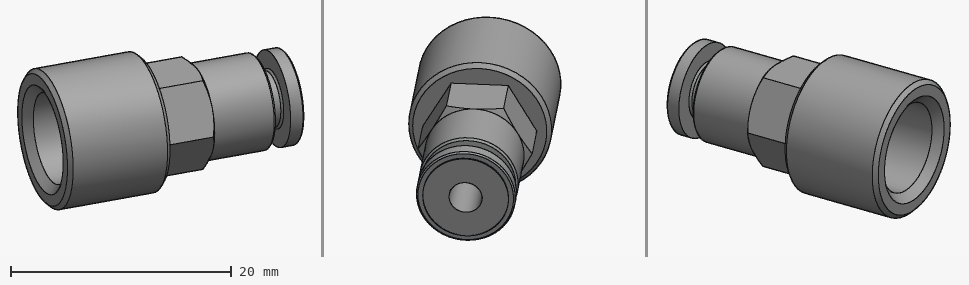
import cadquery as cq
import math


total_length = 23.9
socket_length = 10.0
hex_length = 5.0
collar_length = 1.5
collar_gap = 1.2

socket_diameter = 13.0
body_diameter = 9.0
neck_diameter = 5.2
bore_diameter = 8.5
bore_mouth_diameter = 10.1
through_hole_diameter = 3.0

hex_across_flats = 9.0
hex_across_corners = hex_across_flats / math.cos(math.radians(30))
hex_chamfer_angle = 30.0

socket_chamfer = 0.4
body_rim_chamfer = 0.2
collar_rim_chamfer = 0.15
end_ring_height = 0.15
body_cone_height = 0.2
end_ring_diameter = 7.8
neck_flare = 0.2

bore_depth = 8.0
bore_tip_angle = 118.0
bore_mouth_angle = 90.0

hex_end = socket_length + hex_length
collar_start = total_length - collar_length
body_end = collar_start - collar_gap


def revolve_about_axis(points):
    """Revolve a closed (radius, y) outline about the Y axis."""
    return cq.Workplane("XY").polyline(points).close().revolve(360, (0, 0, 0), (0, 1, 0))


def cone_height(large_diameter, small_diameter, included_angle):
    half_angle = math.radians(included_angle / 2)
    return (large_diameter - small_diameter) / 2 / math.tan(half_angle)


def make_socket():
    radius = socket_diameter / 2
    return revolve_about_axis([
        (0, 0),
        (radius - socket_chamfer, 0),
        (radius, socket_chamfer),
        (radius, socket_length - socket_chamfer),
        (radius - socket_chamfer, socket_length),
        (0, socket_length),
    ])


def make_hexagon():
    prism = (
        cq.Workplane("XZ", origin=(0, socket_length, 0))
        .polygon(6, hex_across_corners)
        .extrude(-hex_length)
    )
    corner_radius = hex_across_corners / 2
    flat_radius = hex_across_flats / 2
    corner_drop = (corner_radius - flat_radius) * math.tan(math.radians(hex_chamfer_angle))
    envelope = revolve_about_axis([
        (0, socket_length),
        (corner_radius, socket_length),
        (corner_radius, hex_end - corner_drop),
        (flat_radius, hex_end),
        (0, hex_end),
    ])
    return prism.intersect(envelope)


def make_body():
    radius = body_diameter / 2
    return revolve_about_axis([
        (0, socket_length),
        (radius, socket_length),
        (radius, body_end - body_cone_height - body_rim_chamfer),
        (radius - body_rim_chamfer, body_end - body_cone_height),
        (neck_diameter / 2, body_end),
        (0, body_end),
    ])


def make_release_collar():
    radius = body_diameter / 2
    neck_radius = neck_diameter / 2
    return revolve_about_axis([
        (0, hex_end),
        (neck_radius, hex_end),
        (neck_radius, collar_start - neck_flare),
        (neck_radius + neck_flare, collar_start),
        (radius, collar_start),
        (radius, total_length - end_ring_height - collar_rim_chamfer),
        (radius - collar_rim_chamfer, total_length - end_ring_height),
        (end_ring_diameter / 2, total_length - end_ring_height),
        (end_ring_diameter / 2, total_length),
        (0, total_length),
    ])


def make_bore():
    mouth_depth = cone_height(bore_mouth_diameter, bore_diameter, bore_mouth_angle)
    tip_height = cone_height(bore_diameter, through_hole_diameter, bore_tip_angle)
    hole_radius = through_hole_diameter / 2
    return revolve_about_axis([
        (0, 0),
        (bore_mouth_diameter / 2, 0),
        (bore_diameter / 2, mouth_depth),
        (bore_diameter / 2, bore_depth),
        (hole_radius, bore_depth + tip_height),
        (hole_radius, total_length),
        (0, total_length),
    ])


solid = make_socket().union(make_hexagon()).union(make_body()).union(make_release_collar())
result = solid.cut(make_bore())